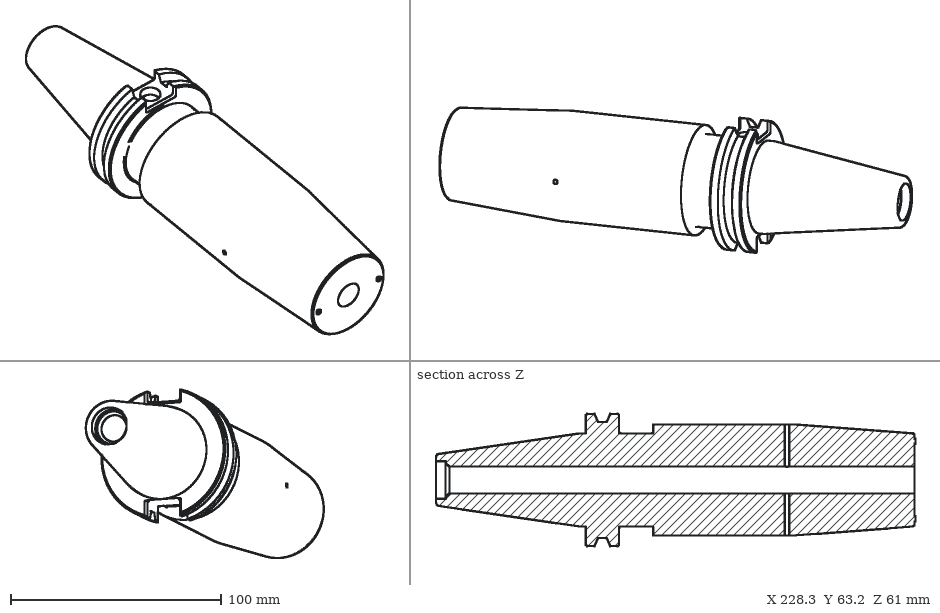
import cadquery as cq
import math


GAUGE_D = 44.5
TAPER_LENGTH = 68.5
TAPER_RATIO = 7 / 24
TAPER_END_FILLET = 1.5

FLANGE_D = 63.2
FLANGE_START = 2.7
FLANGE_END = 18.7
FLANGE_CHAMFER = 0.7
GROOVE_CENTER = 10.7
GROOVE_FLOOR_WIDTH = 4.0
GROOVE_TOP_WIDTH = 7.3
GROOVE_FLOOR_D = 55.7

SLOT_WIDTH = 16.5
UPPER_SLOT_FLOOR = 25.0
LOWER_SLOT_FLOOR = 22.4
SLOT_CHAMFER = 1.1
SLOT_CORNER_R = 1.1
POCKET_D = 9.5
POCKET_DEPTH = 4.5

NECK_D = 44.5
NECK_FILLET = 0.7
BODY_D = 53.0
BODY_START = 35.0
NOSE_START = 102.7
NOSE_END_D = 44.5
NOSE_CHAMFER = 0.7
NOSE_END = 159.3

BORE_D = 12.8
PILOT_D = 17.8
PILOT_DEPTH = 4.5
CONE_D = 15.7
CONE_LENGTH = 1.8

CROSS_HOLE_D = 2.0
CROSS_HOLE_X = 98.5
PLUG_D = 2.5
PLUG_OFFSET = 18.5
PLUG_HEIGHT = 0.5

BACK = -TAPER_LENGTH
TAPER_ANGLE = math.atan(TAPER_RATIO / 2)
TAPER_END_R = (GAUGE_D - TAPER_RATIO * TAPER_LENGTH) / 2


def make_outside():
    """Revolved outer shape: taper, flange with V-groove, neck, body and nose."""
    gauge_r = GAUGE_D / 2
    flange_r = FLANGE_D / 2
    groove_r = GROOVE_FLOOR_D / 2
    neck_r = NECK_D / 2
    body_r = BODY_D / 2
    nose_r = NOSE_END_D / 2
    groove_top = GROOVE_TOP_WIDTH / 2
    groove_floor = GROOVE_FLOOR_WIDTH / 2
    tangent = TAPER_END_FILLET / math.tan((math.pi / 2 + TAPER_ANGLE) / 2)
    round_end = (
        BACK + tangent * math.cos(TAPER_ANGLE),
        TAPER_END_R + tangent * math.sin(TAPER_ANGLE),
    )
    profile = (
        cq.Workplane("XY")
        .moveTo(BACK, 0)
        .lineTo(BACK, TAPER_END_R - tangent)
        .radiusArc(round_end, TAPER_END_FILLET)
        .lineTo(0, gauge_r)
        .lineTo(FLANGE_START, gauge_r)
        .lineTo(FLANGE_START, flange_r - FLANGE_CHAMFER)
        .lineTo(FLANGE_START + FLANGE_CHAMFER, flange_r)
        .lineTo(GROOVE_CENTER - groove_top, flange_r)
        .lineTo(GROOVE_CENTER - groove_floor, groove_r)
        .lineTo(GROOVE_CENTER + groove_floor, groove_r)
        .lineTo(GROOVE_CENTER + groove_top, flange_r)
        .lineTo(FLANGE_END - FLANGE_CHAMFER, flange_r)
        .lineTo(FLANGE_END, flange_r - FLANGE_CHAMFER)
        .lineTo(FLANGE_END, neck_r + NECK_FILLET)
        .radiusArc((FLANGE_END + NECK_FILLET, neck_r), -NECK_FILLET)
        .lineTo(BODY_START - NECK_FILLET, neck_r)
        .radiusArc((BODY_START, neck_r + NECK_FILLET), -NECK_FILLET)
        .lineTo(BODY_START, body_r)
        .lineTo(NOSE_START, body_r)
        .lineTo(NOSE_END - NOSE_CHAMFER, nose_r)
        .lineTo(NOSE_END, nose_r - NOSE_CHAMFER)
        .lineTo(NOSE_END, 0)
        .close()
    )
    return profile.revolve(360, (0, 0, 0), (1, 0, 0))


def make_bore():
    """Stepped through bore, widest at the small end of the taper."""
    bore_r = BORE_D / 2
    pilot_r = PILOT_D / 2
    cone_start = BACK + PILOT_DEPTH
    profile = (
        cq.Workplane("XY")
        .moveTo(BACK, 0)
        .lineTo(BACK, pilot_r)
        .lineTo(cone_start, pilot_r)
        .lineTo(cone_start, CONE_D / 2)
        .lineTo(cone_start + CONE_LENGTH, bore_r)
        .lineTo(NOSE_END, bore_r)
        .lineTo(NOSE_END, 0)
        .close()
    )
    return profile.revolve(360, (0, 0, 0), (1, 0, 0))


def draw_slot_section(plane, widening, floor):
    """Draw a U-shaped slot section with round floor corners, open beyond the rim."""
    half = SLOT_WIDTH / 2 + widening
    corner = SLOT_CORNER_R
    top = FLANGE_D / 2 + 2.3
    return (
        plane.moveTo(-half, top)
        .lineTo(-half, floor + corner)
        .radiusArc((-half + corner, floor), -corner)
        .lineTo(half - corner, floor)
        .radiusArc((half, floor + corner), -corner)
        .lineTo(half, top)
        .close()
    )


def make_slot(floor, floor_chamfer):
    """Cutter for one drive slot above the axis, flared at both flange faces."""
    start = cq.Workplane("YZ", origin=(FLANGE_START, 0, 0))
    slot = draw_slot_section(start, 0, floor).extrude(FLANGE_END - FLANGE_START)
    for face_x, inward in ((FLANGE_START, 1), (FLANGE_END, -1)):
        face = cq.Workplane("YZ", origin=(face_x, 0, 0))
        flare = draw_slot_section(face, SLOT_CHAMFER, floor - floor_chamfer)
        flare = flare.workplane(offset=inward * SLOT_CHAMFER)
        flare = draw_slot_section(flare, 0, floor).loft(ruled=True)
        slot = slot.union(flare)
    return slot


def make_pocket():
    """Round blind pocket in the floor of the upper slot."""
    return (
        cq.Workplane("XY", origin=(GROOVE_CENTER, 0, UPPER_SLOT_FLOOR - POCKET_DEPTH))
        .circle(POCKET_D / 2)
        .extrude(POCKET_DEPTH)
    )


def make_cross_hole():
    """Small hole straight through the body along Y."""
    return (
        cq.Workplane("XZ", origin=(CROSS_HOLE_X, 0, 0))
        .circle(CROSS_HOLE_D / 2)
        .extrude(BODY_D, both=True)
    )


def make_plugs():
    """Two small round plugs standing slightly proud of the nose face."""
    return (
        cq.Workplane("YZ", origin=(NOSE_END, 0, 0))
        .pushPoints([(-PLUG_OFFSET, 0), (PLUG_OFFSET, 0)])
        .circle(PLUG_D / 2)
        .extrude(PLUG_HEIGHT)
    )


result = (
    make_outside()
    .cut(make_bore())
    .cut(make_slot(UPPER_SLOT_FLOOR, SLOT_CHAMFER))
    .cut(make_slot(LOWER_SLOT_FLOOR, 0).mirror("XY"))
    .cut(make_pocket())
    .cut(make_cross_hole())
    .union(make_plugs())
)